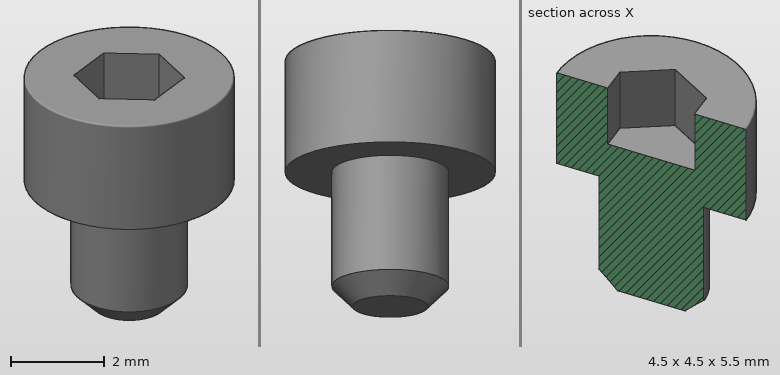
import cadquery as cq
import math

total_height = 5.5
head_diameter = 4.5
head_height = 2.5
head_edge_radius = 0.04
shank_diameter = 2.5
shank_length = total_height - head_height
tip_chamfer = 0.45
socket_across_flats = 2.05
socket_across_corners = socket_across_flats / math.cos(math.pi / 6)
socket_depth = 1.54


def make_head():
    """Cylindrical head with a slightly rounded top edge."""
    head = cq.Workplane("XY").circle(head_diameter / 2).extrude(head_height)
    return head.faces(">Z").edges().fillet(head_edge_radius)


def make_shank():
    """Plain shank below the head, with a chamfered tip."""
    shank = cq.Workplane("XY").circle(shank_diameter / 2).extrude(-shank_length)
    return shank.faces("<Z").edges().chamfer(tip_chamfer)


def make_socket():
    """Hexagonal drive socket with two corners on the X axis."""
    top = cq.Workplane("XY").workplane(offset=head_height)
    return top.polygon(6, socket_across_corners).extrude(-socket_depth)


result = make_head().union(make_shank()).cut(make_socket())